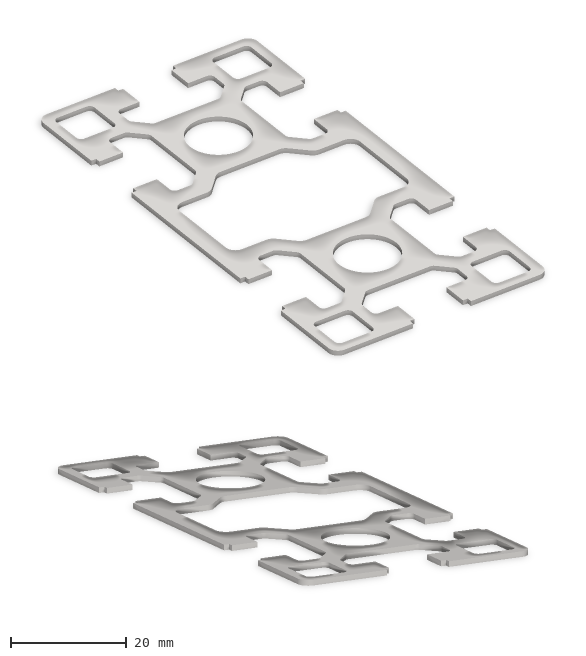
import cadquery as cq

module = 45.0
length = 2 * module
thickness = 1.0
corner_radius = 2.0

bore_diameter = 12.0
core_half = 9.5
rib_offset = 2.5

slot_half_width = 5.1
recess_depth = 1.0
recess_half_width = slot_half_width + recess_depth
lip_depth = 6.0
cavity_half_width = 10.0
cavity_corner_radius = 1.0
cavity_bend_radius = 1.0

chamber_size = 8.0
chamber_wall = 2.0
chamber_radius = 1.0

center_half_width = 9.0
center_wall = 3.5
center_corner_radius = 2.0
center_bend_radius = 2.0

half_module = module / 2
bore_x = module / 2


def extrude_outline(points):
    """Extrude a closed polygon through the plate thickness."""
    return cq.Workplane("XY").polyline(points).close().extrude(thickness)


def round_edges_between(body, y_low, y_high, radius):
    """Round the upright edges whose Y lies between the two limits."""
    upright = body.edges("|Z")
    chosen = upright.filter(lambda edge: y_low < edge.Center().y < y_high)
    return chosen.fillet(radius)


def mirrored_outline(half_points):
    """Complete an outline from its +X half by mirroring it across the Y axis."""
    return half_points + [(-x, y) for x, y in reversed(half_points)]


def slot_cutter():
    """T-slot opening toward +Y, with the module centre at the origin."""
    lip_y = half_module - lip_depth
    cavity = extrude_outline(mirrored_outline([
        (core_half - rib_offset, core_half),
        (cavity_half_width, cavity_half_width + rib_offset),
        (cavity_half_width, lip_y),
    ]))
    bend_limit = (cavity_half_width + rib_offset + lip_y) / 2
    cavity = round_edges_between(cavity, 0, bend_limit, cavity_bend_radius)
    cavity = round_edges_between(cavity, bend_limit, half_module, cavity_corner_radius)

    mouth_depth = half_module - core_half
    mouth = cq.Workplane("XY").box(
        2 * slot_half_width, mouth_depth, thickness, centered=(True, False, False)
    ).translate((0, core_half, 0))
    recess = cq.Workplane("XY").box(
        2 * recess_half_width, recess_depth, thickness, centered=(True, False, False)
    ).translate((0, half_module - recess_depth, 0))
    return cavity.union(mouth).union(recess)


def center_chamber():
    """Octagonal opening between the two cores, bounded by their diagonal ribs."""
    waist_x = bore_x - core_half
    waist_y = core_half - rib_offset
    shoulder_y = bore_x - center_half_width - rib_offset
    top_y = half_module - center_wall
    right_half = [
        (center_half_width, -top_y),
        (center_half_width, -shoulder_y),
        (waist_x, -waist_y),
        (waist_x, waist_y),
        (center_half_width, shoulder_y),
        (center_half_width, top_y),
    ]
    chamber = extrude_outline(mirrored_outline(right_half))
    bend_limit = (shoulder_y + top_y) / 2
    chamber = round_edges_between(chamber, -bend_limit, bend_limit, center_bend_radius)
    chamber = round_edges_between(chamber, bend_limit, half_module, center_corner_radius)
    return round_edges_between(chamber, -half_module, -bend_limit, center_corner_radius)


def corner_chambers():
    """The four rounded square openings in the outer corners."""
    center_offset = chamber_wall + chamber_size / 2
    x = length / 2 - center_offset
    y = half_module - center_offset
    return (
        cq.Workplane("XY")
        .rect(2 * x, 2 * y, forConstruction=True)
        .vertices()
        .rect(chamber_size, chamber_size)
        .extrude(thickness)
        .edges("|Z")
        .fillet(chamber_radius)
    )


def core_bores():
    """Round bores through the two module cores."""
    return (
        cq.Workplane("XY")
        .pushPoints([(-bore_x, 0), (bore_x, 0)])
        .circle(bore_diameter / 2)
        .extrude(thickness)
    )


profile = (
    cq.Workplane("XY")
    .box(length, module, thickness, centered=(True, True, False))
    .edges("|Z")
    .fillet(corner_radius)
)

profile = profile.cut(core_bores()).cut(corner_chambers()).cut(center_chamber())

slot = slot_cutter()
for module_x, outer_end_angle in ((-bore_x, 90), (bore_x, -90)):
    for angle in (0, 180, outer_end_angle):
        turned_slot = slot.rotate((0, 0, 0), (0, 0, 1), angle)
        profile = profile.cut(turned_slot.translate((module_x, 0, 0)))

result = profile